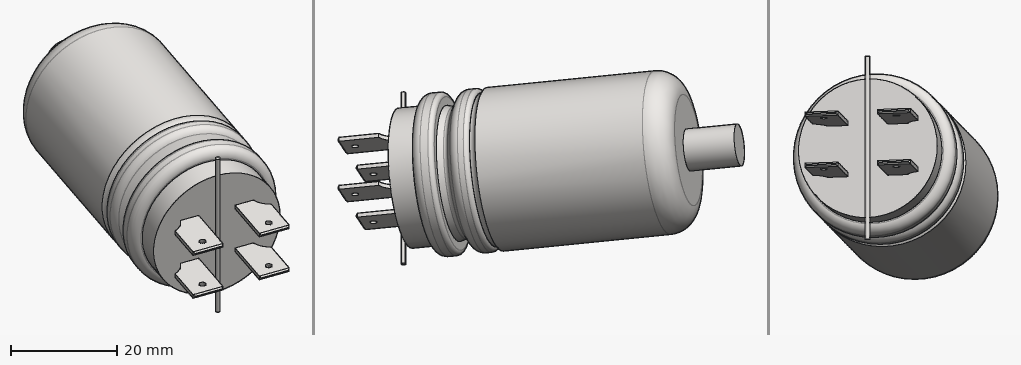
import cadquery as cq
import math

overall_length = 75.5
can_diameter = 31.0
can_radius = can_diameter / 2
stud_radius = 4.0
stud_length = 9.9
can_end_x = 64.85
shoulder_radius = 5.0

body_end_x = 47.4
first_bead_x = 48.7
groove_depth = 0.9
groove_arc_radius = 1.5

bead_small_round = 1.0
bead_large_round = 2.0
first_bead_flat = 1.1
second_bead_x = 55.6
second_bead_flat = 1.5
neck_radius = 13.3

flank_angle = math.radians(60)
flank_end_radius = 13.0
crimp_x = 54.3
crimp_radius = 12.5
crimp_wall_radius = 12.9

tab_width = 6.3
tab_thickness = 0.8
tab_y = 6.95
tab_z = 4.9
tab_notch_depth = 2.4
tab_notch_length = 2.65
tab_notch_radius = 4.0
tab_tip_chamfer = 0.3
tab_hole_diameter = 1.3
tab_hole_to_tip = 2.65
tab_root = 0.4

wire_length = 35.0
wire_radius = 0.45
wire_axis_offset = 0.4


def make_can():
    """Revolve the stud, rounded can, beads and neck as one profile."""
    first_flat_start = first_bead_x + bead_small_round
    first_flat_end = first_flat_start + first_bead_flat
    second_flat_start = second_bead_x + bead_small_round
    second_flat_end = second_flat_start + second_bead_flat
    second_bead_end = second_flat_end + bead_large_round
    small_center_r = can_radius - bead_small_round
    large_center_r = can_radius - bead_large_round
    shoulder_center_x = stud_length + shoulder_radius
    shoulder_center_r = can_radius - shoulder_radius

    flank_x = first_flat_end + bead_large_round * math.sin(flank_angle)
    flank_r = large_center_r + bead_large_round * math.cos(flank_angle)
    flank_end_x = flank_x + (flank_r - flank_end_radius) / math.tan(flank_angle)

    profile = (
        cq.Workplane("XY")
        .lineTo(0, stud_radius)
        .lineTo(stud_length, stud_radius)
        .lineTo(stud_length, shoulder_center_r)
        .radiusArc((shoulder_center_x, can_radius), shoulder_radius)
        .lineTo(body_end_x, can_radius)
        .radiusArc((first_bead_x, can_radius - groove_depth), -groove_arc_radius)
        .lineTo(first_bead_x, small_center_r)
        .radiusArc((first_flat_start, can_radius), bead_small_round)
        .lineTo(first_flat_end, can_radius)
        .radiusArc((flank_x, flank_r), bead_large_round)
        .lineTo(flank_end_x, flank_end_radius)
        .tangentArcPoint((crimp_x, crimp_radius), relative=False)
        .lineTo(second_bead_x, crimp_wall_radius)
        .lineTo(second_bead_x, small_center_r)
        .radiusArc((second_flat_start, can_radius), bead_small_round)
        .lineTo(second_flat_end, can_radius)
        .radiusArc((second_bead_end, large_center_r), bead_large_round)
        .lineTo(second_bead_end, neck_radius)
        .lineTo(can_end_x, neck_radius)
        .lineTo(can_end_x, 0)
        .close()
    )
    return profile.revolve(360, (0, 0, 0), (1, 0, 0))


def make_tab():
    """One terminal on the +Y side, centred on Z = 0, notched at its outer root corner."""
    outer_y = tab_y + tab_width / 2
    inner_y = tab_y - tab_width / 2
    notch_y = outer_y - tab_notch_depth
    blade = (
        cq.Workplane("XY")
        .moveTo(can_end_x - tab_root, inner_y)
        .lineTo(overall_length, inner_y)
        .lineTo(overall_length, outer_y)
        .lineTo(can_end_x + tab_notch_length, outer_y)
        .radiusArc((can_end_x, notch_y), tab_notch_radius)
        .lineTo(can_end_x - tab_root, notch_y)
        .close()
        .extrude(tab_thickness / 2, both=True)
        .faces(">X")
        .chamfer(tab_tip_chamfer)
    )
    hole = (
        cq.Workplane("XY")
        .center(overall_length - tab_hole_to_tip, tab_y)
        .circle(tab_hole_diameter / 2)
        .extrude(tab_thickness, both=True)
    )
    return blade.cut(hole)


def make_wire():
    """D-shaped wire whose flat lies on the end face of the can."""
    half_chord = math.sqrt(wire_radius**2 - wire_axis_offset**2)
    outermost_x = can_end_x + wire_axis_offset + wire_radius
    return (
        cq.Workplane("XY")
        .moveTo(can_end_x, -half_chord)
        .threePointArc((outermost_x, 0), (can_end_x, half_chord))
        .close()
        .extrude(wire_length / 2, both=True)
    )


result = make_can().union(make_wire())
left_tab = make_tab()
right_tab = left_tab.mirror("XZ")
for z in (-tab_z, tab_z):
    for tab in (left_tab, right_tab):
        result = result.union(tab.translate((0, 0, z)))